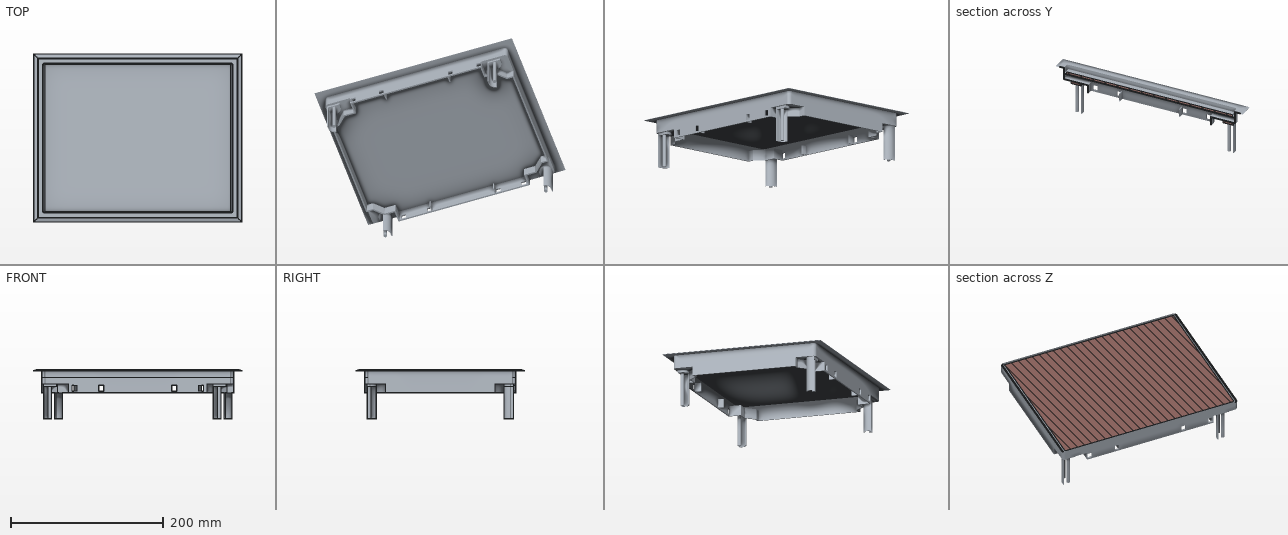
import cadquery as cq
import math

FRAME_X = 274.0
FRAME_Y = 221.0
TOTAL_HEIGHT = 65.1

FRAME_RIM_HEIGHT = 0.25
BEVEL_HEIGHT = 1.8
BEVEL_WIDTH = 5.3
FRAME_TOP_WIDTH = 1.0

HOUSING_X = 253.0
HOUSING_Y = 199.0
HOUSING_HEIGHT = 28.85
HOUSING_CORNER_RADIUS = 4.5
WALL = 2.0

RECESS_HEIGHT = 11.6
RECESS_LENGTH_X = 35.4
RECESS_LENGTH_Y = 27.7
RECESS_DIAGONAL_START = 9.25

WINDOW_WIDTH = 6.4
WINDOW_HEIGHT = 7.4
WINDOW_SILL = 2.2
INNER_WINDOW_X = 48.0
OUTER_WINDOW_FRONT_X = 83.0
OUTER_WINDOW_BACK_X = 87.2
RIB_THICKNESS = 1.5
RIB_DEPTH = 9.0

LID_FLANGE_HEIGHT = 1.2
LID_RECESS_INSET = 12.7
LID_RECESS_RADIUS = 2.0
TRAY_WALL = 0.7
LID_FLOOR_HEIGHT = 2.0
PLATE_TOP_DEPTH = 5.7
PLATE_HEIGHT = 3.0
PLATE_GAP_X = 2.1
PLATE_GAP_Y = 1.05

LEG_RADIUS = 8.5
LEG_STRAIGHT = 4.4
LEG_WALL = 1.0
LEG_CAP_HEIGHT = 3.2
LEG_FRONT_GAP = 2.9
LEFT_LEG_GAP = 2.5
LEG_PITCH = 222.8
PIN_DIAMETER = 4.7
PIN_CENTER_Y = 3.3

BEVEL_BOTTOM = TOTAL_HEIGHT - BEVEL_HEIGHT
FRAME_BOTTOM = BEVEL_BOTTOM - FRAME_RIM_HEIGHT
HOUSING_BOTTOM = FRAME_BOTTOM - HOUSING_HEIGHT
RECESS_ROOF = HOUSING_BOTTOM + RECESS_HEIGHT
LID_INSET = BEVEL_WIDTH + FRAME_TOP_WIDTH
TRAY_INSET = LID_RECESS_INSET - TRAY_WALL
PLATE_BOTTOM = TOTAL_HEIGHT - PLATE_TOP_DEPTH - PLATE_HEIGHT
TRAY_BOTTOM = PLATE_BOTTOM - LID_FLOOR_HEIGHT
LEG_DEPTH = LEG_STRAIGHT + LEG_RADIUS
RECESS_DEPTH = LEG_FRONT_GAP + LEG_DEPTH
LEG_FRONT_Y = LEG_FRONT_GAP - HOUSING_Y / 2
FIRST_LEG_X = LEFT_LEG_GAP - HOUSING_X / 2


def block(size_x, size_y, bottom, top):
    """Upright block centred on the Z axis."""
    return cq.Workplane("XY").workplane(offset=bottom).rect(size_x, size_y).extrude(top - bottom)


def framed_block(inset, bottom, top):
    """Block whose sides lie a given distance inside the frame's outer edge."""
    return block(FRAME_X - 2 * inset, FRAME_Y - 2 * inset, bottom, top)


def tray_envelope(bottom, top):
    """Outside shape of the lid tray between two levels."""
    envelope = framed_block(TRAY_INSET, bottom, top)
    return envelope.edges("|Z").fillet(LID_RECESS_RADIUS + TRAY_WALL)


def make_frame():
    rim = framed_block(0, FRAME_BOTTOM, BEVEL_BOTTOM)
    bevel = (
        cq.Workplane("XY", origin=(0, 0, BEVEL_BOTTOM))
        .rect(FRAME_X, FRAME_Y)
        .workplane(offset=BEVEL_HEIGHT)
        .rect(FRAME_X - 2 * BEVEL_WIDTH, FRAME_Y - 2 * BEVEL_WIDTH)
        .loft(ruled=True)
    )
    rabbet = framed_block(LID_INSET, TOTAL_HEIGHT - LID_FLANGE_HEIGHT, TOTAL_HEIGHT)
    opening = tray_envelope(FRAME_BOTTOM, TOTAL_HEIGHT)
    return rim.union(bevel).cut(rabbet).cut(opening)


def make_lid():
    flange = framed_block(LID_INSET, TOTAL_HEIGHT - LID_FLANGE_HEIGHT, TOTAL_HEIGHT)
    tray = tray_envelope(TRAY_BOTTOM, TOTAL_HEIGHT)
    recess = framed_block(LID_RECESS_INSET, PLATE_BOTTOM, TOTAL_HEIGHT)
    recess = recess.edges("|Z").fillet(LID_RECESS_RADIUS)
    return flange.union(tray).cut(recess)


def make_plate():
    size_x = FRAME_X - 2 * (LID_RECESS_INSET + PLATE_GAP_X)
    size_y = FRAME_Y - 2 * (LID_RECESS_INSET + PLATE_GAP_Y)
    return block(size_x, size_y, PLATE_BOTTOM, PLATE_BOTTOM + PLATE_HEIGHT)


def corner_recess(side_x, side_y, growth):
    """Space taken by one corner recess, enlarged on its inner side and roof by growth."""
    diagonal_end = RECESS_DIAGONAL_START + RECESS_LENGTH_Y - RECESS_DEPTH
    outline = [
        (0, 0),
        (RECESS_LENGTH_X, 0),
        (RECESS_LENGTH_X, RECESS_DEPTH),
        (diagonal_end, RECESS_DEPTH),
        (RECESS_DIAGONAL_START, RECESS_LENGTH_Y),
        (0, RECESS_LENGTH_Y),
    ]
    corner_x = side_x * HOUSING_X / 2
    corner_y = side_y * HOUSING_Y / 2
    points = [(corner_x - side_x * x, corner_y - side_y * y) for x, y in outline]
    recess = cq.Workplane("XY", origin=(0, 0, HOUSING_BOTTOM)).polyline(points).close()
    if growth:
        recess = recess.offset2D(growth, "intersection")
    return recess.extrude(RECESS_HEIGHT + growth)


def wall_window(center_x, side_y):
    """Rectangular opening through one long wall."""
    bottom = HOUSING_BOTTOM + WINDOW_SILL
    opening = block(WINDOW_WIDTH, 3 * WALL, bottom, bottom + WINDOW_HEIGHT)
    return opening.translate((center_x, side_y * HOUSING_Y / 2, 0))


def window_rib(side_x, side_y):
    """Rib on the inside of a long wall, at the inner jamb of an inner window."""
    rib = block(RIB_THICKNESS, RIB_DEPTH, HOUSING_BOTTOM, RECESS_ROOF)
    rib_x = INNER_WINDOW_X - (WINDOW_WIDTH + RIB_THICKNESS) / 2
    rib_y = HOUSING_Y / 2 - WALL / 2 - RIB_DEPTH / 2
    return rib.translate((side_x * rib_x, side_y * rib_y, 0))


def make_housing():
    corners = [(x, y) for x in (-1, 1) for y in (-1, 1)]
    housing = block(HOUSING_X, HOUSING_Y, HOUSING_BOTTOM, FRAME_BOTTOM)
    housing = housing.edges("|Z").fillet(HOUSING_CORNER_RADIUS)
    cavity = block(HOUSING_X - 2 * WALL, HOUSING_Y - 2 * WALL, HOUSING_BOTTOM, FRAME_BOTTOM)
    cavity = cavity.edges("|Z").fillet(HOUSING_CORNER_RADIUS - WALL)
    for side_x, side_y in corners:
        cavity = cavity.cut(corner_recess(side_x, side_y, WALL))
    tray_seat = tray_envelope(TRAY_BOTTOM, FRAME_BOTTOM)
    housing = housing.cut(cavity).cut(tray_seat)
    for side_x, side_y in corners:
        outer_x = OUTER_WINDOW_FRONT_X if side_y < 0 else OUTER_WINDOW_BACK_X
        housing = housing.union(window_rib(side_x, side_y))
        housing = housing.cut(corner_recess(side_x, side_y, 0))
        housing = housing.cut(wall_window(side_x * INNER_WINDOW_X, side_y))
        housing = housing.cut(wall_window(side_x * outer_x, side_y))
    return housing


def make_leg():
    """Leg with the front end of its flat side on the Z axis."""
    width = 2 * LEG_RADIUS
    cap = (
        cq.Workplane("XY", origin=(0, 0, RECESS_ROOF - LEG_CAP_HEIGHT))
        .lineTo(width, 0)
        .lineTo(width, LEG_STRAIGHT)
        .threePointArc((LEG_RADIUS, LEG_DEPTH), (0, LEG_STRAIGHT))
        .close()
        .extrude(LEG_CAP_HEIGHT)
    )
    mid_arc = math.sqrt(0.5)
    inner_radius = LEG_RADIUS - LEG_WALL
    shield = (
        cq.Workplane("XY")
        .lineTo(0, LEG_STRAIGHT)
        .threePointArc(
            (LEG_RADIUS * (1 - mid_arc), LEG_STRAIGHT + LEG_RADIUS * mid_arc),
            (LEG_RADIUS, LEG_DEPTH),
        )
        .lineTo(LEG_RADIUS, LEG_DEPTH - LEG_WALL)
        .threePointArc(
            (LEG_RADIUS - inner_radius * mid_arc, LEG_STRAIGHT + inner_radius * mid_arc),
            (LEG_WALL, LEG_STRAIGHT),
        )
        .lineTo(LEG_WALL, 0)
        .close()
        .extrude(RECESS_ROOF)
    )
    pin = (
        cq.Workplane("XY")
        .center(LEG_RADIUS, PIN_CENTER_Y)
        .circle(PIN_DIAMETER / 2)
        .extrude(RECESS_ROOF)
    )
    return cap.union(shield).union(pin)


def make_legs():
    """Two legs along the front and the same pair turned half round at the back."""
    legs = []
    for turn in (0, 180):
        for index in range(2):
            leg = make_leg().translate((FIRST_LEG_X + index * LEG_PITCH, LEG_FRONT_Y, 0))
            legs.append(leg.rotate((0, 0, 0), (0, 0, 1), turn))
    return legs


frame = make_frame()
housing = make_housing()
lid = make_lid()
plate = make_plate()
legs = make_legs()

result = cq.Compound.makeCompound(
    [frame.val(), housing.val(), lid.val(), plate.val(), *[leg.val() for leg in legs]]
)